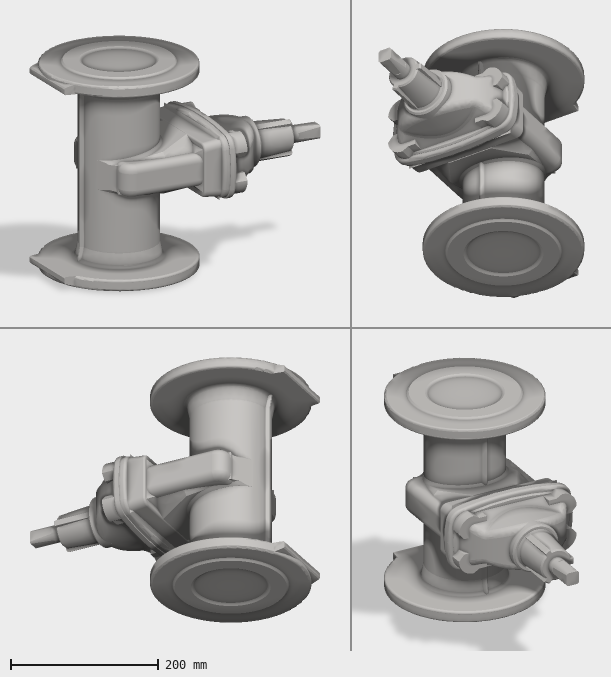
import cadquery as cq
import math


overall_length = 300.0
half_length = overall_length / 2
raised_face_height = 3.0
raised_face_radius = 79.5
raised_face_slope = 3.5
flange_radius = 110.0
flange_thickness = 16.5
flange_edge = 3.5
flange_outer_z = half_length - raised_face_height
flange_inner_z = flange_outer_z - flange_thickness
pipe_radius = 56.0
flare_start_z = 110.0
flare_radius = 59.5
flare_fillet = 5.0
recess_mouth_radius = 54.5
recess_floor_radius = 50.0
recess_depth = 2.5

foot_bottom_y = -110.5
foot_top_y = -95.5
foot_root_y = -74.5
foot_bottom_half_width = 51.0
foot_top_half_width = 53.5
foot_edge_thickness = 10.0
foot_root_thickness = 14.0
foot_edge_chamfer = 1.5

seam_radius = 60.0
seam_half_width = 4.5
seam_top_half_width = 1.2
seam_embed = 4.0
seam_flare_rise = flare_radius - pipe_radius

neck_bottom_y = 86.5
arm_half_width = 81.8
arm_end_y = -33.0
arm_end_radius = 18.5
arm_half_thickness = 23.2
arm_edge_fillet = 11.0
toe_root_x = 57.0
toe_tip_x = 27.5
toe_tip_y = -math.sqrt(pipe_radius**2 - toe_tip_x**2)
toe_half_depth = 16.0
web_crest_top_x = 33.0
web_crest_waist_x = 62.2
web_waist_y = 35.3
web_foot_x = 70.5
web_foot_z = 20.8
web_end_foot_x = 62.2
pipe_root_spread = 4.5
pipe_root_taper = 45

body_flange_bottom_y = 112.0
joint_y = 121.0
bonnet_flange_top_y = 131.0
bonnet_pad_top_y = 133.5
bonnet_pad_inset = 6.5
bonnet_pad_chamfer = 2.0
neck_half_width = 86.7
neck_half_depth = 42.5
neck_bottom_half_depth = 38.5
wedge_slope = (neck_bottom_half_depth - toe_half_depth) / (neck_bottom_y - toe_tip_y)
neck_corner_radius = 10.8
neck_edge_fillet = 3.0
arm_root_height = 7.5
flange_root_height = 3.5
cover_half_width = 97.0
cover_half_depth = 53.0
cover_side_sag = 6.5
cover_long_sag = 9.5
cover_corner_radius = 20.8
cover_edge_fillet = 4.0
body_flange_inset = 1.5

dome_radius = 84.5
dome_center_y = 112.0
dome_side_half_thickness = 22.0
dome_middle_half_thickness = 35.3
dome_corner_x = 63.5
dome_corner_y = 169.5
dome_rim_fillet = 10.0
skirt_knee_y = 141.0

boss_top_y = 150.0
boss_center_x = 68.5
boss_center_z = 20.8
boss_radius = 23.0
boss_wall_x = 59.8
boss_wall_z = 38.5
boss_inner_x = 48.0
boss_inner_z = 11.5
boss_side_x = 83.0

collar_diameter = 71.0
collar_bottom_y = 184.5
collar_top_y = 202.0
collar_chamfer = 2.5
tower_top_y = 258.0
tower_base_radius = 27.0
tower_top_radius = 23.2
tower_chamfer = 2.0
tower_foot = 2.5
tower_rib_reach = 28.2
tower_rib_width = 8.5
tower_rib_count = 3
stem_tip_y = 304.5
stem_diameter = 24.5
stem_square_tip = 19.5
stem_square_root = 23.0
stem_square_length = 34.5


def plane_at_y(y):
    """Sketch plane across the stem axis: local axes are X and Z, extrude(-h) grows toward +Y."""
    return cq.Workplane("XZ", origin=(0, y, 0))


def revolve_about_stem(points):
    """Solid of revolution about the Y axis from (radius, y) points."""
    return cq.Workplane("XY").polyline(points).close().revolve(360, (0, 0), (0, 1))


def both_ends(solid):
    return solid.union(solid.mirror("XY"))


def tapered_block(bottom_y, bottom_half_width, bottom_half_depth, top_y, top_half_width, top_half_depth):
    """Rectangular block along the stem axis that widens from its bottom to its top."""
    return (
        plane_at_y(bottom_y)
        .rect(2 * bottom_half_width, 2 * bottom_half_depth)
        .workplane(offset=bottom_y - top_y)
        .rect(2 * top_half_width, 2 * top_half_depth)
        .loft(ruled=True)
    )


def make_pipe():
    flare_top_z = flange_inner_z - flare_fillet
    root_radius = flare_radius + flare_fillet
    bend = flare_fillet * (1 - math.sqrt(0.5))
    half = (
        cq.Workplane("XZ")
        .moveTo(0, 0)
        .lineTo(pipe_radius, 0)
        .lineTo(pipe_radius, flare_start_z)
        .lineTo(flare_radius, flare_top_z)
        .threePointArc((flare_radius + bend, flange_inner_z - bend), (root_radius, flange_inner_z))
        .lineTo(flange_radius - flange_edge, flange_inner_z)
        .radiusArc((flange_radius, flange_inner_z + flange_edge), -flange_edge)
        .lineTo(flange_radius, flange_outer_z - flange_edge)
        .radiusArc((flange_radius - flange_edge, flange_outer_z), -flange_edge)
        .lineTo(raised_face_radius, flange_outer_z)
        .lineTo(raised_face_radius - raised_face_slope, half_length)
        .lineTo(recess_mouth_radius, half_length)
        .lineTo(recess_floor_radius, half_length - recess_depth)
        .lineTo(0, half_length - recess_depth)
        .close()
        .revolve(360, (0, 0), (0, 1))
    )
    return both_ends(half)


def make_feet():
    side = (
        cq.Workplane("YZ")
        .polyline([
            (foot_root_y, flange_inner_z),
            (foot_bottom_y, flange_inner_z),
            (foot_bottom_y, flange_inner_z + foot_edge_thickness),
            (foot_top_y, flange_inner_z + foot_root_thickness),
            (foot_root_y, flange_inner_z + foot_root_thickness),
        ])
        .close()
        .extrude(foot_top_half_width, both=True)
    )
    plan = (
        cq.Workplane("XY")
        .polyline([
            (-foot_top_half_width, foot_root_y),
            (-foot_top_half_width, foot_top_y),
            (-foot_bottom_half_width, foot_bottom_y),
            (foot_bottom_half_width, foot_bottom_y),
            (foot_top_half_width, foot_top_y),
            (foot_top_half_width, foot_root_y),
        ])
        .close()
        .extrude(half_length)
    )
    foot = side.intersect(plan).faces("<Y").edges("|X").chamfer(foot_edge_chamfer)
    return both_ends(foot)


def make_seam():
    """Ridge along the pipe on the -Y side, rising with the flare, mirrored to +Y."""

    def section(rise):
        root_y = -(pipe_radius + rise) + seam_embed
        top_y = -(seam_radius + rise)
        return [
            (-seam_half_width, root_y),
            (-seam_half_width, -(pipe_radius + rise)),
            (-seam_top_half_width, top_y),
            (seam_top_half_width, top_y),
            (seam_half_width, -(pipe_radius + rise)),
            (seam_half_width, root_y),
        ]

    straight = cq.Workplane("XY").polyline(section(0)).close().extrude(flare_start_z)
    rising = (
        cq.Workplane("XY", origin=(0, 0, flare_start_z))
        .polyline(section(0))
        .close()
        .workplane(offset=flange_inner_z - flare_start_z)
        .polyline(section(seam_flare_rise))
        .close()
        .loft(ruled=True)
    )
    ridge = both_ends(straight.union(rising))
    return ridge.union(ridge.mirror("XZ"))


def make_arms():
    """Flat slab across the pipe whose outer strips are the two side arms."""
    slab = (
        cq.Workplane("XY")
        .center(0, (neck_bottom_y + arm_end_y) / 2)
        .rect(2 * arm_half_width, neck_bottom_y - arm_end_y)
        .extrude(arm_half_thickness, both=True)
    )
    rounded_ends = slab.edges("|Z").edges("<Y").fillet(arm_end_radius)
    return rounded_ends.faces("<Z or >Z").edges("not >Y").fillet(arm_edge_fillet)


def wedge_half_depth(y):
    """Half thickness of the body, thinning evenly from the neck to the tips of the toes."""
    return toe_half_depth + wedge_slope * (y - toe_tip_y)


def toe_plan():
    """Tall block whose lower end slants from the arms to the toe tips."""
    return (
        cq.Workplane("XY")
        .polyline([
            (-arm_half_width, neck_bottom_y),
            (-arm_half_width, arm_end_y),
            (-toe_root_x, arm_end_y),
            (-toe_tip_x, toe_tip_y),
            (toe_tip_x, toe_tip_y),
            (toe_root_x, arm_end_y),
            (arm_half_width, arm_end_y),
            (arm_half_width, neck_bottom_y),
        ])
        .close()
        .extrude(neck_half_depth, both=True)
    )


def make_toes():
    """Slanted ends of the wedge that run from the arms down onto the pipe."""
    wedge = (
        cq.Workplane("YZ")
        .polyline([
            (0, -wedge_half_depth(0)),
            (0, wedge_half_depth(0)),
            (toe_tip_y, toe_half_depth),
            (toe_tip_y, -toe_half_depth),
        ])
        .close()
        .extrude(toe_root_x, both=True)
    )
    return toe_plan().intersect(wedge)


def make_pipe_root():
    """Sloping collar that blends the pipe into the faces of the wedge."""
    face = cq.Plane(origin=(0, 0, wedge_half_depth(0)), xDir=(1, 0, 0), normal=(0, -wedge_slope, 1))
    base = cq.Workplane(face).circle(pipe_radius + pipe_root_spread)
    collar = base.extrude(pipe_root_spread, taper=pipe_root_taper)
    return both_ends(collar.intersect(toe_plan()))


def make_web():
    """Wedge around the pipe with sloping shoulders, thinning from the neck toward the arm ends."""

    def section(crest_x, crest_z, foot_x):
        return [
            (-crest_x, crest_z),
            (crest_x, crest_z),
            (foot_x, web_foot_z),
            (foot_x, -web_foot_z),
            (crest_x, -crest_z),
            (-crest_x, -crest_z),
            (-foot_x, -web_foot_z),
            (-foot_x, web_foot_z),
        ]

    def piece(bottom_y, bottom_section, top_y, top_section):
        return (
            plane_at_y(bottom_y)
            .polyline(bottom_section)
            .close()
            .workplane(offset=bottom_y - top_y)
            .polyline(top_section)
            .close()
            .loft(ruled=True)
        )

    end = section(toe_root_x, wedge_half_depth(arm_end_y), web_end_foot_x)
    waist = section(web_crest_waist_x, wedge_half_depth(web_waist_y), web_foot_x)
    top = section(web_crest_top_x, neck_bottom_half_depth, web_foot_x)
    return piece(arm_end_y, end, web_waist_y, waist).union(piece(web_waist_y, waist, neck_bottom_y, top))


def make_neck():
    block = (
        cq.Workplane("YZ")
        .polyline([
            (neck_bottom_y, -neck_bottom_half_depth),
            (neck_bottom_y, neck_bottom_half_depth),
            (joint_y, neck_half_depth),
            (joint_y, -neck_half_depth),
        ])
        .close()
        .extrude(neck_half_width, both=True)
    )
    long_edges = block.faces("<X or >X").edges("not |Z")
    return long_edges.fillet(neck_corner_radius).faces("<Y").edges().fillet(neck_edge_fillet)


def bulged_plate(bottom_y, top_y, half_width, half_depth):
    """Rectangular plate across the stem with slightly arched sides and round corners."""
    corner_x = half_width - cover_side_sag
    corner_z = half_depth - cover_long_sag
    return (
        plane_at_y(bottom_y)
        .moveTo(-corner_x, -corner_z)
        .threePointArc((0, -half_depth), (corner_x, -corner_z))
        .threePointArc((half_width, 0), (corner_x, corner_z))
        .threePointArc((0, half_depth), (-corner_x, corner_z))
        .threePointArc((-half_width, 0), (-corner_x, -corner_z))
        .close()
        .extrude(bottom_y - top_y)
        .edges("|Y")
        .fillet(cover_corner_radius)
    )


def make_neck_roots():
    """Sloping transitions from the arms to the neck and from the neck to its flange."""
    arm_root = tapered_block(
        neck_bottom_y - arm_root_height,
        arm_half_width - arm_edge_fillet,
        arm_half_thickness,
        neck_bottom_y,
        arm_half_width,
        arm_half_thickness + arm_root_height,
    )
    flange_root = tapered_block(
        body_flange_bottom_y - flange_root_height,
        neck_half_width - neck_corner_radius,
        neck_half_depth - flange_root_height / 2,
        body_flange_bottom_y,
        neck_half_width - neck_corner_radius / 2,
        neck_half_depth + flange_root_height,
    )
    return arm_root.union(flange_root)


def make_flange_pair():
    body_flange = bulged_plate(
        body_flange_bottom_y,
        joint_y,
        cover_half_width - body_flange_inset,
        cover_half_depth - body_flange_inset,
    )
    bonnet_flange = bulged_plate(joint_y, bonnet_flange_top_y, cover_half_width, cover_half_depth)
    body_flange = body_flange.faces("<Y").edges().fillet(cover_edge_fillet)
    bonnet_flange = bonnet_flange.faces(">Y").edges().fillet(cover_edge_fillet)
    pad = bulged_plate(
        joint_y, bonnet_pad_top_y, cover_half_width - bonnet_pad_inset, cover_half_depth - bonnet_pad_inset
    )
    pad = pad.faces(">Y").edges().chamfer(bonnet_pad_chamfer)
    return body_flange.union(bonnet_flange).union(pad)


def make_dome():
    def disc(half_thickness):
        circle = cq.Workplane("XY").center(0, dome_center_y).circle(dome_radius)
        return circle.extrude(half_thickness, both=True)

    crown = (
        plane_at_y(joint_y)
        .moveTo(-dome_corner_x, -dome_side_half_thickness)
        .threePointArc((0, -dome_middle_half_thickness), (dome_corner_x, -dome_side_half_thickness))
        .lineTo(dome_corner_x, dome_side_half_thickness)
        .threePointArc((0, dome_middle_half_thickness), (-dome_corner_x, dome_side_half_thickness))
        .close()
        .extrude(joint_y - collar_top_y)
    )
    skirt_slope = (dome_middle_half_thickness - dome_side_half_thickness) / (dome_corner_y - skirt_knee_y)
    skirt_base = dome_middle_half_thickness + skirt_slope * (skirt_knee_y - joint_y)
    skirt = (
        cq.Workplane("YZ")
        .polyline([
            (joint_y, -skirt_base),
            (joint_y, skirt_base),
            (dome_corner_y, dome_side_half_thickness),
            (dome_corner_y, -dome_side_half_thickness),
        ])
        .close()
        .extrude(dome_radius, both=True)
    )
    dome = crown.union(skirt).intersect(disc(cover_half_depth))
    rim = [edge for edge in dome.edges("not #Z").edges("not |X").vals() if edge.Center().y > skirt_knee_y]
    return dome.newObject(rim).fillet(dome_rim_fillet)


def make_bosses():
    bend = boss_radius * math.sqrt(0.5)
    boss = (
        plane_at_y(joint_y)
        .moveTo(boss_center_x + boss_radius, boss_center_z)
        .threePointArc(
            (boss_center_x + bend, boss_center_z + bend),
            (boss_center_x, boss_center_z + boss_radius),
        )
        .lineTo(boss_wall_x, boss_wall_z)
        .lineTo(boss_inner_x, boss_wall_z)
        .lineTo(boss_inner_x, boss_inner_z)
        .lineTo(boss_side_x, boss_inner_z)
        .close()
        .extrude(joint_y - boss_top_y)
    )
    pair = boss.union(boss.mirror("YZ"))
    return both_ends(pair)


def make_collar():
    radius = collar_diameter / 2
    return revolve_about_stem([
        (0, collar_bottom_y),
        (radius, collar_bottom_y),
        (radius, collar_top_y - collar_chamfer),
        (radius - collar_chamfer, collar_top_y),
        (0, collar_top_y),
    ])


def make_tower():
    tower = revolve_about_stem([
        (0, collar_bottom_y),
        (tower_base_radius + tower_foot, collar_bottom_y),
        (tower_base_radius + tower_foot, collar_top_y),
        (tower_base_radius, collar_top_y + tower_foot),
        (tower_top_radius, tower_top_y - tower_chamfer),
        (tower_top_radius - tower_chamfer, tower_top_y),
        (0, tower_top_y),
    ])
    rib = (
        cq.Workplane("XY")
        .polyline([
            (0, collar_top_y),
            (-tower_rib_reach, collar_top_y),
            (-tower_rib_reach, tower_top_y - tower_chamfer),
            (-tower_rib_reach + tower_chamfer, tower_top_y),
            (0, tower_top_y),
        ])
        .close()
        .extrude(tower_rib_width / 2, both=True)
    )
    for i in range(tower_rib_count):
        tower = tower.union(rib.rotate((0, 0, 0), (0, 1, 0), i * 360 / tower_rib_count))
    return tower


def make_stem():
    square_root_y = stem_tip_y - stem_square_length
    shank = plane_at_y(joint_y).circle(stem_diameter / 2).extrude(joint_y - square_root_y)
    rod = plane_at_y(square_root_y).circle(stem_diameter / 2).extrude(-stem_square_length)
    square = (
        plane_at_y(square_root_y)
        .rect(stem_square_root, stem_square_root)
        .workplane(offset=-stem_square_length)
        .rect(stem_square_tip, stem_square_tip)
        .loft(ruled=True)
    )
    return shank.union(rod.intersect(square))


result = (
    make_pipe()
    .union(make_feet())
    .union(make_seam())
    .union(make_arms())
    .union(make_toes())
    .union(make_web())
    .union(make_pipe_root())
    .union(make_neck())
    .union(make_neck_roots())
    .union(make_flange_pair())
    .union(make_dome())
    .union(make_bosses())
    .union(make_collar())
    .union(make_tower())
    .union(make_stem())
)